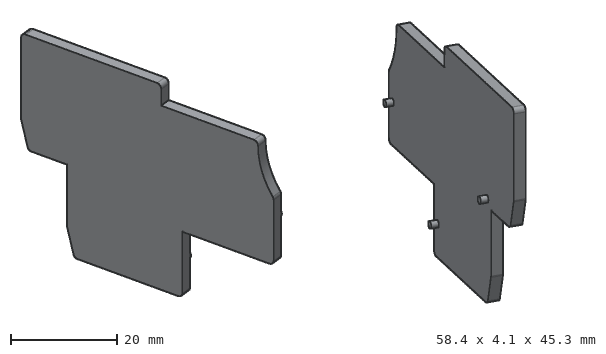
import cadquery as cq
import math

plate_width = 58.4
plate_height = 45.3
plate_thickness = 2.5
corner_radius = 1.0

upper_block_right = 32.4
right_arm_top = 40.65
right_arm_bottom = 14.55
left_arm_bottom = 20.0
stem_left = 10.6
stem_right = 37.3

taper_angle = 15.0
taper_height = 6.3
taper_run = taper_height * math.tan(math.radians(taper_angle))

hollow_radius = 16.65
hollow_top_x = 54.85
hollow_bottom_z = 29.4

overall_depth = 4.1
pin_diameter = 1.5
pin_length = overall_depth - plate_thickness
pin_centers = [
    (12.55, 21.6),
    (35.7, 7.0),
    (56.7, 23.55),
]


def face_plane(y):
    """XZ workplane at the given Y; its normal is -Y, so negative lengths extrude toward +Y."""
    return cq.Workplane("XZ", origin=(0, y, 0))


def hollow_middle(start, end):
    """Middle point of the hollow's arc, which bows toward the lower left of its chord."""
    chord_x = end[0] - start[0]
    chord_z = end[1] - start[1]
    chord = math.hypot(chord_x, chord_z)
    bow = hollow_radius - math.sqrt(hollow_radius**2 - (chord / 2) ** 2)
    middle_x = (start[0] + end[0]) / 2 + bow * chord_z / chord
    middle_z = (start[1] + end[1]) / 2 - bow * chord_x / chord
    return middle_x, middle_z


def make_plate():
    hollow_start = (hollow_top_x, right_arm_top)
    hollow_end = (plate_width, hollow_bottom_z)
    inner_corners = [
        (upper_block_right, right_arm_top),
        (stem_right, right_arm_bottom),
        (stem_left, left_arm_bottom),
    ]
    plate = (
        face_plane(0)
        .moveTo(0, plate_height)
        .lineTo(upper_block_right, plate_height)
        .lineTo(upper_block_right, right_arm_top)
        .lineTo(*hollow_start)
        .threePointArc(hollow_middle(hollow_start, hollow_end), hollow_end)
        .lineTo(plate_width, right_arm_bottom)
        .lineTo(stem_right, right_arm_bottom)
        .lineTo(stem_right, 0)
        .lineTo(stem_left + taper_run, 0)
        .lineTo(stem_left, taper_height)
        .lineTo(stem_left, left_arm_bottom)
        .lineTo(taper_run, left_arm_bottom)
        .lineTo(0, left_arm_bottom + taper_height)
        .close()
        .extrude(-plate_thickness)
    )

    def is_outer_corner(edge):
        center = edge.Center()
        return all(
            math.hypot(center.x - x, center.z - z) > corner_radius
            for x, z in inner_corners
        )

    return plate.edges("|Y").filter(is_outer_corner).fillet(corner_radius)


def make_pins():
    return (
        face_plane(plate_thickness)
        .pushPoints(pin_centers)
        .circle(pin_diameter / 2)
        .extrude(-pin_length)
    )


result = make_plate().union(make_pins())